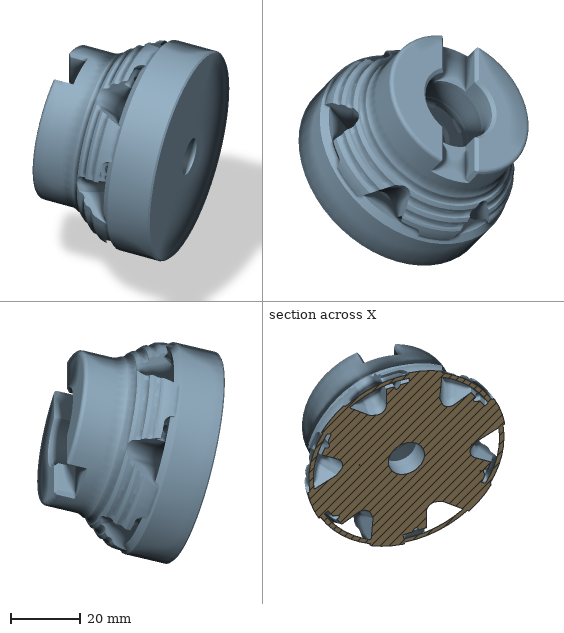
import cadquery as cq
import math

LENGTH = 40.04
OUTER_RADIUS = 31.51
HUB_RADIUS = 23.1
HUB_LENGTH = 10.0
HUB_EDGE_FILLET = 1.2

RIB_COUNT = 3
RIB_START = 13.05
RIB_PITCH = 3.1
RIB_RADIUS = 24.05
RIB_RISE = 2.38
RIB_FLAT = 0.75
RIB_BEVEL = 0.85
WALL_OFFSET = 2.1
WALL_FOOT_RISE = 0.95
LAND_FRONT_BEVEL = 0.6
LAND_FRONT_RADIUS = 30.2
LAND_RADIUS = 30.76
LAND_CROWN = 0.14
LAND_FLAT_START = 25.7

NOSE_X = 25.1
NOSE_RADIUS = 29.6
COLLAR_BACK_CHAMFER = 0.5
DISH_ANGLE = 28.3
DISH_INNER_RADIUS = 18.0

BORE_RADIUS = 11.0
BORE_DEPTH = 18.0
BORE_RELIEF_RADIUS = 11.15
BORE_RELIEF_START = 7.5
BORE_RELIEF_END = 15.6
BOLT_HOLE_RADIUS = 5.5
EDGE_CHAMFER = 1.0
SLOT_WIDTH = 10.4
SLOT_DEPTH = 6.3

POCKET_COUNT = 6
POCKET_ANGLE = 15.0
WALL_TILT = 16.4
FLOOR_TILT = 46.0
CORNER_DEPTH = 9.54
CORNER_OFFSET = -1.44
CORNER_RADIUS = 2.8
FLOOR_START_DEPTH = 7.6
FLOOR_START_OFFSET = -6.06
POCKET_OPEN_HEIGHT = 12.0

RELIEF_ANGLE = 24.0
RELIEF_FRONT = 3.0
RELIEF_HALF_LENGTH = 3.8
RELIEF_END_RADIUS = 2.5
RELIEF_FLOOR_RADIUS = 27.4
COOLANT_RADIUS = 1.15
COOLANT_START = cq.Vector(25.2, -25.6, 12.0)
COOLANT_END = cq.Vector(BORE_DEPTH, -9.4, -5.0)
COOLANT_OVERRUN = 2.0

CUTTER_BACK = 22.0
CUTTER_FRONT = 12.0
AXIS = cq.Vector(1, 0, 0)


def dish_x(radius):
    """X of the dished collar face at a given radius."""
    return NOSE_X + (NOSE_RADIUS - radius) * math.tan(math.radians(DISH_ANGLE))


def revolve_about_x(outline):
    return outline.close().revolve(360, (0, 0, 0), (1, 0, 0))


def around_axis(cutter):
    """The cutter repeated for every pocket."""
    step = 360 / POCKET_COUNT
    return [cutter.rotate((0, 0, 0), (1, 0, 0), i * step) for i in range(POCKET_COUNT)]


def directions(angle):
    """Radial, tangential, inward-feed and outward-normal directions of a pocket at an angle."""
    turn = math.radians(angle)
    dish = math.radians(DISH_ANGLE)
    radial = cq.Vector(0, -math.cos(turn), math.sin(turn))
    tangent = cq.Vector(0, math.sin(turn), math.cos(turn))
    feed = AXIS * math.cos(dish) - radial * math.sin(dish)
    normal = AXIS * math.sin(dish) + radial * math.cos(dish)
    return radial, tangent, feed, normal


def fore_body():
    """Hub, concave flare, ribs and land, reaching back into the collar."""
    fillet_rise = HUB_EDGE_FILLET * (1 - math.sqrt(0.5))
    outline = (
        cq.Workplane("XY")
        .lineTo(0, HUB_RADIUS - HUB_EDGE_FILLET)
        .threePointArc((fillet_rise, HUB_RADIUS - fillet_rise), (HUB_EDGE_FILLET, HUB_RADIUS))
        .lineTo(HUB_LENGTH, HUB_RADIUS)
        .tangentArcPoint((RIB_START, RIB_RADIUS), relative=False)
    )
    for rib in range(RIB_COUNT):
        start = RIB_START + rib * RIB_PITCH
        radius = RIB_RADIUS + rib * RIB_RISE
        wall = start + WALL_OFFSET
        if rib > 0:
            outline = outline.lineTo(start, radius)
        outline = outline.lineTo(start + RIB_FLAT, radius)
        outline = outline.tangentArcPoint((wall, radius + WALL_FOOT_RISE), relative=False)
        if rib < RIB_COUNT - 1:
            outline = outline.lineTo(wall, radius + RIB_RISE - RIB_BEVEL)
    land_start = wall + LAND_FRONT_BEVEL
    land_middle = (land_start + LAND_FLAT_START) / 2
    land_middle_radius = (LAND_FRONT_RADIUS + LAND_RADIUS) / 2 + LAND_CROWN
    outline = (
        outline.lineTo(wall, LAND_FRONT_RADIUS - LAND_FRONT_BEVEL)
        .lineTo(land_start, LAND_FRONT_RADIUS)
        .threePointArc((land_middle, land_middle_radius), (LAND_FLAT_START, LAND_RADIUS))
        .lineTo(NOSE_X + LAND_RADIUS - NOSE_RADIUS, LAND_RADIUS)
        .lineTo(LENGTH, DISH_INNER_RADIUS)
        .lineTo(LENGTH, 0)
    )
    return revolve_about_x(outline)


def collar():
    """Collar ring with a 45 degree front bevel and a dished face behind its nose."""
    outline = (
        cq.Workplane("XY")
        .moveTo(dish_x(DISH_INNER_RADIUS), 0)
        .lineTo(dish_x(DISH_INNER_RADIUS), DISH_INNER_RADIUS)
        .lineTo(NOSE_X, NOSE_RADIUS)
        .lineTo(NOSE_X + OUTER_RADIUS - NOSE_RADIUS, OUTER_RADIUS)
        .lineTo(LENGTH - COLLAR_BACK_CHAMFER, OUTER_RADIUS)
        .lineTo(LENGTH, OUTER_RADIUS - COLLAR_BACK_CHAMFER)
        .lineTo(LENGTH, 0)
    )
    return revolve_about_x(outline)


def pocket_cutter():
    """V groove with a rounded corner, a narrow strip and a sloping floor."""
    radial, tangent, feed, normal = directions(POCKET_ANGLE)
    nose = AXIS * NOSE_X + radial * NOSE_RADIUS
    plane = cq.Plane(origin=nose - feed * CUTTER_BACK, xDir=tangent, normal=feed)
    wall_run = (CORNER_DEPTH + POCKET_OPEN_HEIGHT) * math.tan(math.radians(WALL_TILT))
    floor_run = (FLOOR_START_DEPTH + POCKET_OPEN_HEIGHT) * math.tan(math.radians(90 - FLOOR_TILT))
    corner = nose - normal * CORNER_DEPTH + tangent * CORNER_OFFSET
    return (
        cq.Workplane(plane)
        .moveTo(CORNER_OFFSET, -CORNER_DEPTH)
        .lineTo(CORNER_OFFSET + wall_run, POCKET_OPEN_HEIGHT)
        .lineTo(FLOOR_START_OFFSET - floor_run, POCKET_OPEN_HEIGHT)
        .lineTo(FLOOR_START_OFFSET, -FLOOR_START_DEPTH)
        .close()
        .extrude(CUTTER_BACK + CUTTER_FRONT)
        .edges(cq.NearestToPointSelector(corner.toTuple()))
        .fillet(CORNER_RADIUS)
    )


def relief_cutter():
    """Slot along the dished face, rounded at the end away from the insert pocket."""
    radial, _, feed, normal = directions(RELIEF_ANGLE)
    plane = cq.Plane(origin=AXIS * NOSE_X + radial * RELIEF_FLOOR_RADIUS, xDir=feed, normal=normal)
    return (
        cq.Workplane(plane)
        .moveTo(CUTTER_FRONT, RELIEF_HALF_LENGTH)
        .lineTo(RELIEF_END_RADIUS - RELIEF_FRONT, RELIEF_HALF_LENGTH)
        .tangentArcPoint((-RELIEF_FRONT, RELIEF_HALF_LENGTH - RELIEF_END_RADIUS), relative=False)
        .lineTo(-RELIEF_FRONT, -RELIEF_HALF_LENGTH)
        .lineTo(CUTTER_FRONT, -RELIEF_HALF_LENGTH)
        .close()
        .extrude(POCKET_OPEN_HEIGHT)
    )


def coolant_cutter():
    """Straight hole from the relief floor to the bottom corner of the arbor bore."""
    run = COOLANT_END - COOLANT_START
    hole_length = run.Length + COOLANT_OVERRUN
    return cq.Workplane(cq.Solid.makeCylinder(COOLANT_RADIUS, hole_length, COOLANT_START, run))


def bore_cutter():
    """Chamfered arbor bore with a shallow relief, and the bolt hole through its bottom."""
    outline = (
        cq.Workplane("XY")
        .lineTo(0, BORE_RADIUS + EDGE_CHAMFER)
        .lineTo(EDGE_CHAMFER, BORE_RADIUS)
        .lineTo(BORE_RELIEF_START, BORE_RADIUS)
        .lineTo(BORE_RELIEF_START, BORE_RELIEF_RADIUS)
        .lineTo(BORE_RELIEF_END, BORE_RELIEF_RADIUS)
        .lineTo(BORE_RELIEF_END, BORE_RADIUS)
        .lineTo(BORE_DEPTH, BORE_RADIUS)
        .lineTo(BORE_DEPTH, BOLT_HOLE_RADIUS + EDGE_CHAMFER)
        .lineTo(BORE_DEPTH + EDGE_CHAMFER, BOLT_HOLE_RADIUS)
        .lineTo(LENGTH, BOLT_HOLE_RADIUS)
        .lineTo(LENGTH, 0)
    )
    return revolve_about_x(outline)


def drive_slot_cutter():
    """Slot across the hub face, chamfered along the face and at its outer ends."""
    half = SLOT_WIDTH / 2
    wide = half + EDGE_CHAMFER
    slot = (
        cq.Workplane("XY")
        .moveTo(SLOT_DEPTH, half)
        .lineTo(EDGE_CHAMFER, half)
        .lineTo(0, wide)
        .lineTo(0, -wide)
        .lineTo(EDGE_CHAMFER, -half)
        .lineTo(SLOT_DEPTH, -half)
        .close()
        .extrude(OUTER_RADIUS, both=True)
    )
    end_z = math.sqrt(HUB_RADIUS**2 - wide**2)
    flare_top = OUTER_RADIUS - end_z
    for side in (1, -1):
        flare = (
            cq.Workplane("YZ")
            .moveTo(half, side * (end_z - EDGE_CHAMFER))
            .lineTo(wide + flare_top, side * OUTER_RADIUS)
            .lineTo(-wide - flare_top, side * OUTER_RADIUS)
            .lineTo(-half, side * (end_z - EDGE_CHAMFER))
            .close()
            .extrude(SLOT_DEPTH)
        )
        slot = slot.union(flare)
    return slot


result = fore_body()
for cutter in around_axis(pocket_cutter()) + around_axis(relief_cutter()):
    result = result.cut(cutter)
result = result.union(collar())
result = result.cut(bore_cutter()).cut(drive_slot_cutter())
for cutter in around_axis(coolant_cutter()):
    result = result.cut(cutter)